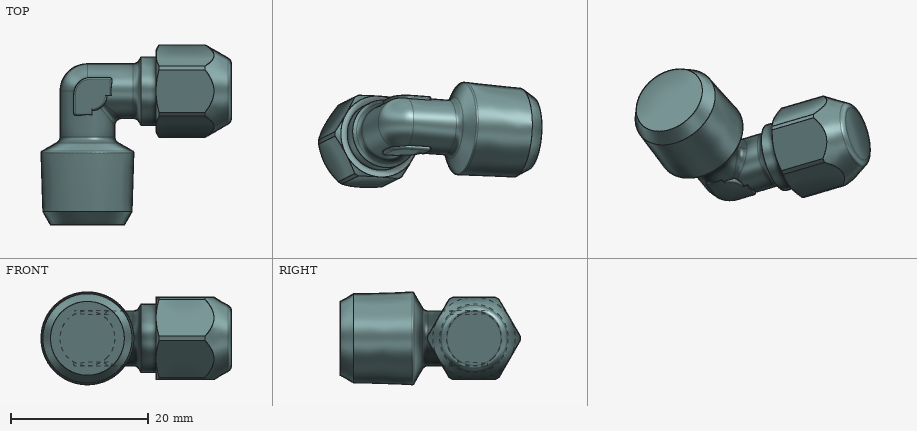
import cadquery as cq
import math

LEG_RADIUS = 4.0
LEG_LENGTH = 6.66
CROTCH_RADIUS = 1.0
FLARE_RADIUS = 1.0
FLARE_ANGLE = math.radians(60)

COLLAR_RADIUS = 5.0
NUT_START = 10.0
NUT_END = 21.0
NUT_FLATS = 12.0
NUT_CORNER_RADIUS = 6.75
NUT_CONE_START = 18.45
NUT_CHAMFER_ANGLE = math.radians(30)
NUT_END_FILLET = 1.0

PLUG_RADIUS = 6.78
PLUG_TAPER = 1 / 32
PLUG_CHAMFER_START = 17.55
PLUG_END = 19.5
PLUG_SHOULDER_FILLET = 0.28
PLUG_CHAMFER_ANGLE = math.radians(30)

PAD_TOP = 4.03
PAD_BASE = 2.78
PAD_ARC_CENTER = 0.5
PAD_OUTER_RADIUS = 2.5
PAD_INNER_RADIUS = 2.4
PAD_REACH = 3.55
PAD_STEP = 0.67
PAD_CORNER_RADIUS = 0.33
PAD_FILLET = 0.25


TOLERANCE = 0.03


def box_around(center, half_sizes):
    """Select what is centered inside a box with the given half-sizes."""
    low = tuple(c - h for c, h in zip(center, half_sizes))
    high = tuple(c + h for c, h in zip(center, half_sizes))
    return cq.selectors.BoxSelector(low, high)


def flare_arc_point(angle):
    """Point on the flare fillet after it has turned by angle from the leg line."""
    return (
        LEG_LENGTH + FLARE_RADIUS * math.sin(angle),
        LEG_RADIUS + FLARE_RADIUS * (1 - math.cos(angle)),
    )


def flare_end(end_radius):
    """Axial place where the flare cone reaches end_radius."""
    x, radius = flare_arc_point(FLARE_ANGLE)
    return x + (end_radius - radius) / math.tan(FLARE_ANGLE)


def flared_leg(end_radius, outline):
    """Revolve a leg about X: straight, flared out to end_radius, then the outline points."""
    profile = (
        cq.Workplane("XY")
        .lineTo(0, LEG_RADIUS)
        .lineTo(LEG_LENGTH, LEG_RADIUS)
        .threePointArc(flare_arc_point(FLARE_ANGLE / 2), flare_arc_point(FLARE_ANGLE))
        .lineTo(flare_end(end_radius), end_radius)
    )
    for point in outline:
        profile = profile.lineTo(*point)
    return profile.close().revolve(360, (0, 0, 0), (1, 0, 0))


def nut_leg():
    return flared_leg(COLLAR_RADIUS, [(NUT_START, COLLAR_RADIUS), (NUT_START, 0)])


def nut():
    flat_radius = NUT_FLATS / 2
    corner_rise = NUT_CORNER_RADIUS - flat_radius
    slope = math.tan(NUT_CHAMFER_ANGLE)
    hexagon = (
        cq.Workplane("YZ", origin=(NUT_START, 0, 0))
        .polygon(6, NUT_FLATS / math.cos(math.pi / 6))
        .extrude(NUT_END - NUT_START)
    )
    envelope = (
        cq.Workplane("XY")
        .moveTo(NUT_START, 0)
        .lineTo(NUT_START, flat_radius)
        .lineTo(NUT_START + corner_rise * slope, NUT_CORNER_RADIUS)
        .lineTo(NUT_CONE_START - corner_rise / slope, NUT_CORNER_RADIUS)
        .lineTo(NUT_END, flat_radius - (NUT_END - NUT_CONE_START) * slope)
        .lineTo(NUT_END, 0)
        .close()
        .revolve(360, (0, 0, 0), (1, 0, 0))
        .faces(">X")
        .edges()
        .fillet(NUT_END_FILLET)
    )
    return hexagon.intersect(envelope)


def plug_leg():
    shoulder = flare_end(PLUG_RADIUS)
    chamfer_radius = PLUG_RADIUS - (PLUG_CHAMFER_START - shoulder) * PLUG_TAPER
    end_drop = (PLUG_END - PLUG_CHAMFER_START) * math.tan(PLUG_CHAMFER_ANGLE)
    leg = flared_leg(
        PLUG_RADIUS,
        [
            (PLUG_CHAMFER_START, chamfer_radius),
            (PLUG_END, chamfer_radius - end_drop),
            (PLUG_END, 0),
        ],
    )
    shoulder_edge = box_around((shoulder, 0, 0), (TOLERANCE, PLUG_RADIUS, PLUG_RADIUS))
    leg = leg.edges(shoulder_edge).fillet(PLUG_SHOULDER_FILLET)
    return leg.rotate((0, 0, 0), (0, 0, 1), -90)


def pad():
    """Marking pad, symmetric about the diagonal that bisects the elbow."""
    c = PAD_ARC_CENTER
    outer = PAD_OUTER_RADIUS
    inner = PAD_INNER_RADIUS
    diagonal = math.sqrt(0.5)
    side = outer - c
    step_reach = c + math.sqrt(inner**2 - (PAD_STEP - c) ** 2)
    solid = (
        cq.Workplane("XY", origin=(0, 0, PAD_BASE))
        .moveTo(-side, -PAD_REACH)
        .lineTo(-side, -c)
        .threePointArc((c - outer * diagonal, outer * diagonal - c), (c, side))
        .lineTo(PAD_REACH, side)
        .lineTo(PAD_REACH, -PAD_STEP)
        .lineTo(step_reach, -PAD_STEP)
        .threePointArc((c + inner * diagonal, -c - inner * diagonal), (PAD_STEP, -step_reach))
        .lineTo(PAD_STEP, -PAD_REACH)
        .close()
        .extrude(PAD_TOP - PAD_BASE)
    )
    corner_box = (TOLERANCE, TOLERANCE, PAD_TOP)
    far_corners = box_around((PAD_REACH, side, 0), corner_box)
    far_corners = far_corners + box_around((-side, -PAD_REACH, 0), corner_box)
    solid = solid.edges("|Z").edges(far_corners).fillet(PAD_CORNER_RADIUS)
    rim = box_around((0, 0, PAD_TOP), (step_reach, step_reach, TOLERANCE))
    return solid.edges(rim).fillet(PAD_FILLET)


elbow = nut_leg().union(plug_leg()).union(cq.Workplane("XY").sphere(LEG_RADIUS))
top_pad = pad()
elbow = elbow.union(top_pad).union(top_pad.mirror("XY"))
corner_start = PAD_ARC_CENTER + PAD_INNER_RADIUS * math.sqrt(0.5)
corner_mid = (corner_start + LEG_RADIUS) / 2
inner_corner = box_around((corner_mid, -corner_mid, 0), (CROTCH_RADIUS / 2, CROTCH_RADIUS / 2, LEG_RADIUS))
elbow = elbow.edges(inner_corner).fillet(CROTCH_RADIUS)
result = elbow.union(nut())